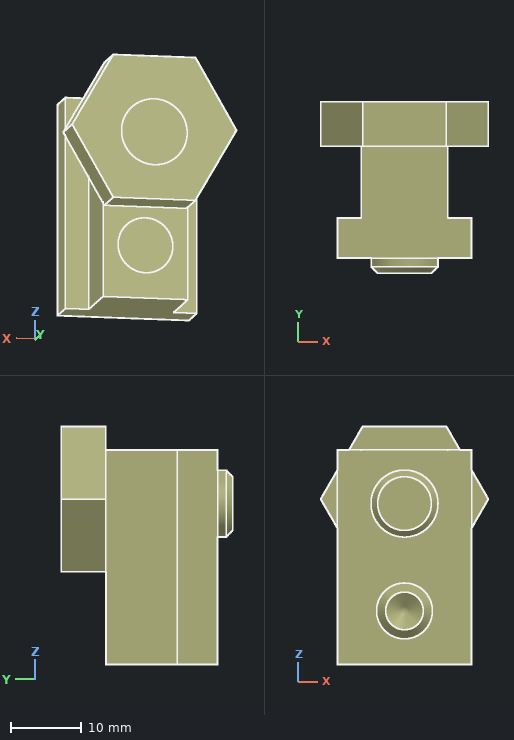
import cadquery as cq
import math


block_height = 30.48
block_depth = 15.875
flange_width = 19.05
flange_depth = 5.715
stem_width = 12.3
stud_to_top = 7.62
screw_to_bottom = 7.62

stud_diameter = 9.525
stud_protrusion = 2.155
stud_chamfer = 0.95

nut_across_flats = 20.6375
nut_thickness = 6.35
nut_offset = 0.635

screw_diameter = 7.9375
cup_diameter = 5.35
cup_angle = 118.0

block_top = stud_to_top
block_bottom = block_top - block_height
screw_z = block_bottom + screw_to_bottom
nut_back = block_depth + nut_thickness


def turned_body(profile, axis_z):
    """Revolve a list of (radius, y) points around the Y-parallel axis at X = 0 and the given Z."""
    return (
        cq.Workplane("XY")
        .polyline(profile)
        .close()
        .revolve(360, (0, 0, 0), (0, 1, 0))
        .translate((0, 0, axis_z))
    )


def bore(diameter, y_end, axis_z):
    """Round cutter along +Y from the block front face."""
    return turned_body([(0, 0), (diameter / 2, 0), (diameter / 2, y_end), (0, y_end)], axis_z)


def make_block():
    flange = cq.Workplane("XY").box(flange_width, flange_depth, block_height, centered=(True, False, False))
    stem = cq.Workplane("XY").box(stem_width, block_depth, block_height, centered=(True, False, False))
    tee = flange.union(stem).translate((0, 0, block_bottom))
    stud_hole = bore(stud_diameter, block_depth, 0)
    screw_hole = bore(screw_diameter, block_depth, screw_z)
    return tee.cut(stud_hole).cut(screw_hole)


def make_stud():
    """Plain rod through block and nut, chamfered at its front end and flush with the nut back."""
    radius = stud_diameter / 2
    tip_radius = radius - stud_chamfer
    return turned_body(
        [
            (0, -stud_protrusion),
            (tip_radius, -stud_protrusion),
            (radius, -stud_protrusion + stud_chamfer),
            (radius, nut_back),
            (0, nut_back),
        ],
        0,
    )


def make_nut():
    """Hexagon with flats on top and bottom; its hole for the stud is off centre by nut_offset."""
    across_corners = nut_across_flats / math.cos(math.pi / 6)
    hexagon = (
        cq.Workplane("XZ", origin=(0, block_depth, nut_offset))
        .polygon(6, across_corners)
        .extrude(-nut_thickness)
    )
    return hexagon.cut(bore(stud_diameter, nut_back, 0))


def make_set_screw():
    """Screw filling its hole, with the cup rim flush with the block front face."""
    radius = screw_diameter / 2
    cup_radius = cup_diameter / 2
    cup_depth = cup_radius / math.tan(math.radians(cup_angle / 2))
    point_length = radius - cup_radius
    return turned_body(
        [
            (0, cup_depth),
            (cup_radius, 0),
            (radius, point_length),
            (radius, block_depth),
            (0, block_depth),
        ],
        screw_z,
    )


block = make_block()
stud = make_stud()
nut = make_nut()
set_screw = make_set_screw()

result = cq.Compound.makeCompound([block.val(), stud.val(), nut.val(), set_screw.val()])